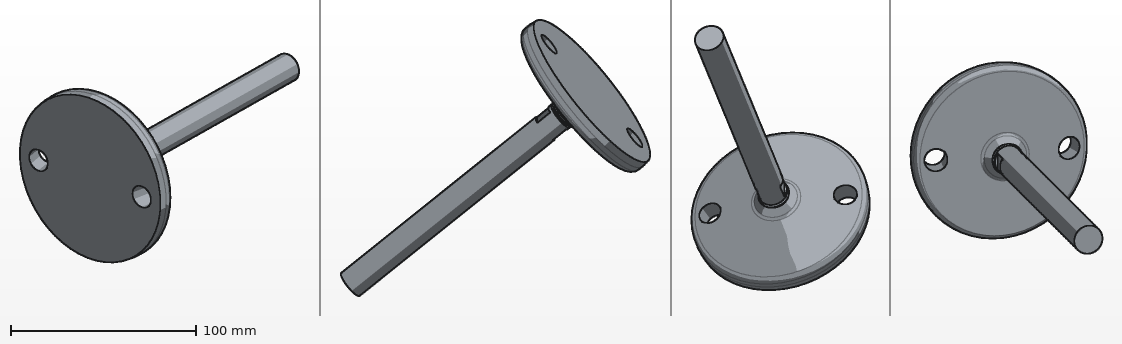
import cadquery as cq
import math

total_length = 172.0

foot_radius = 98.0 / 2
sole_radius = 48.5
taper_top = 4.1
rim_top = 7.0
cone_edge_radius = 46.5
cone_edge_height = 10.1
cone_angle = math.radians(9.8)

boss_base_radius = 12.7
boss_top_radius = 8.3
boss_top = 20.0
boss_fillet = 3.5
lip_radius = 8.6
lip_height = 21.0
lip_face_height = 21.8

hole_diameter = 12.5
hole_offset = 35.6
hole_cutter_reach = 34.4

rod_radius = 16.0 / 2
neck_radius = 12.5 / 2
rod_bottom = 22.4
flat_bottom = 24.3
flat_top = 33.4
flat_half_width = 6.5


def cone_height(radius):
    """Height of the conical top of the foot at a given radius."""
    return cone_edge_height + (cone_edge_radius - radius) * math.tan(cone_angle)


def revolve_about_y(outline):
    return outline.close().revolve(360, (0, 0, 0), (0, 1, 0))


def make_foot_blank():
    plate = revolve_about_y(
        cq.Workplane("XY")
        .lineTo(sole_radius, 0)
        .lineTo(foot_radius, taper_top)
        .lineTo(foot_radius, rim_top)
        .tangentArcPoint((cone_edge_radius, cone_edge_height), relative=False)
        .lineTo(boss_base_radius, cone_height(boss_base_radius))
        .lineTo(boss_top_radius, boss_top)
        .lineTo(lip_radius, lip_height)
        .lineTo(neck_radius, lip_face_height)
        .lineTo(0, lip_face_height)
    )
    base_height = cone_height(boss_base_radius)
    margin = 0.2
    boss_base = cq.selectors.BoxSelector(
        (-foot_radius, base_height - margin, -foot_radius),
        (foot_radius, base_height + margin, foot_radius),
    )
    return plate.edges("%CIRCLE").edges(boss_base).fillet(boss_fillet)


def make_hole_cutter(side):
    """Cylinder leaning outwards on the given side (-1 or +1) as it rises."""
    direction = cq.Vector(side * math.sin(cone_angle), math.cos(cone_angle), 0)
    start = cq.Vector(side * hole_offset, 0, 0) - direction * (hole_cutter_reach / 2)
    return cq.Workplane(cq.Solid.makeCylinder(hole_diameter / 2, hole_cutter_reach, start, direction))


def make_foot():
    foot = make_foot_blank()
    for side in (-1, 1):
        foot = foot.cut(make_hole_cutter(side))
    return foot


def make_spindle():
    spindle = revolve_about_y(
        cq.Workplane("XY")
        .moveTo(0, lip_face_height)
        .lineTo(neck_radius, lip_face_height)
        .lineTo(neck_radius, rod_bottom)
        .lineTo(rod_radius, rod_bottom)
        .lineTo(rod_radius, total_length)
        .lineTo(0, total_length)
    )
    flat_length = flat_top - flat_bottom
    flat_middle = (flat_bottom + flat_top) / 2
    for side in (-1, 1):
        cutter = cq.Workplane("XY").box(rod_radius, flat_length, 2 * rod_radius)
        spindle = spindle.cut(
            cutter.translate((side * (flat_half_width + rod_radius / 2), flat_middle, 0))
        )
    return spindle


foot = make_foot()
spindle = make_spindle()
result = cq.Compound.makeCompound([foot.val(), spindle.val()])